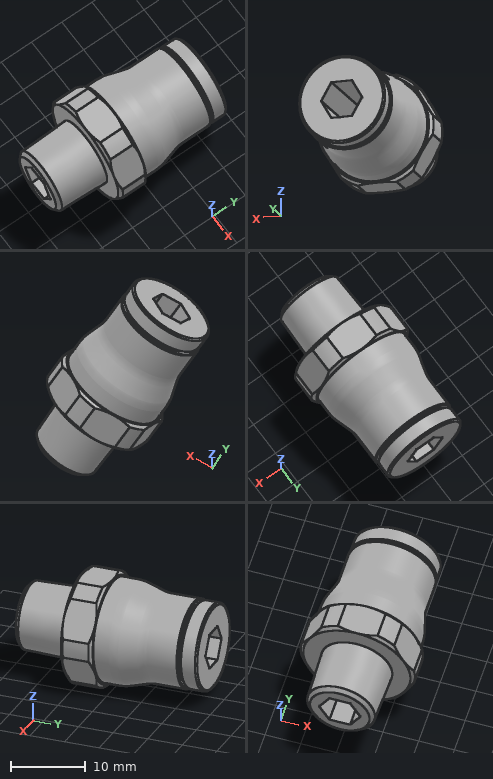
import cadquery as cq
import math

overall_length = 26.9

thread_length = 7.88
thread_base_radius = 4.98
thread_taper = 1 / 32
tip_chamfer_length = 0.6
tip_radius = 4.17

nut_length = 4.57
nut_across_flats = 15.0
nut_corner_radius = 8.003
nut_chamfer_length = 0.43

body_radius = 7.25
body_straight_length = 2.25
neck_radius = 6.2
blend_length = 5.0
blend_arc_radius = 4.57
neck_end_y = 24.15
neck_edge_chamfer = 0.1

groove_radius = 5.51
groove_width = 0.4
cap_radius = 6.08
cap_edge_chamfer = 0.25
cap_lower_chamfer = 0.1

key_across_flats = 5.0

nut_end_y = thread_length + nut_length
blend_start_y = nut_end_y + body_straight_length
blend_end_y = blend_start_y + blend_length
cap_start_y = neck_end_y + groove_width


def hex_prism(across_flats, start_y, length):
    """Hexagonal bar along Y, with corners on the X axis."""
    across_corners = across_flats / math.cos(math.radians(30))
    bar = cq.Workplane("XZ").polygon(6, across_corners).extrude(-length)
    return bar.translate((0, start_y, 0))


def revolve_about_y(outline):
    """Close an XY outline and turn it about the Y axis."""
    return outline.close().revolve(360, (0, 0, 0), (0, 1, 0))


def make_thread():
    taper_end_radius = thread_base_radius - thread_taper * (thread_length - tip_chamfer_length)
    outline = (
        cq.Workplane("XY")
        .lineTo(tip_radius, 0)
        .lineTo(taper_end_radius, tip_chamfer_length)
        .lineTo(thread_base_radius, thread_length)
        .lineTo(0, thread_length)
    )
    return revolve_about_y(outline)


def make_nut():
    """Hexagon trimmed by a round bar whose ends are chamfered down to the flats."""
    face_radius = nut_across_flats / 2
    outline = (
        cq.Workplane("XY")
        .moveTo(0, thread_length)
        .lineTo(face_radius, thread_length)
        .lineTo(nut_corner_radius, thread_length + nut_chamfer_length)
        .lineTo(nut_corner_radius, nut_end_y - nut_chamfer_length)
        .lineTo(face_radius, nut_end_y)
        .lineTo(0, nut_end_y)
    )
    hexagon = hex_prism(nut_across_flats, thread_length, nut_length)
    return hexagon.intersect(revolve_about_y(outline))


def make_body():
    """Body, S-shaped blend, neck, groove and cap as one turned shape."""
    drop = body_radius - neck_radius
    cone_length = math.sqrt(blend_length**2 + drop**2 - 4 * blend_arc_radius * drop)
    cone_angle = math.atan2(blend_length, 2 * blend_arc_radius - drop) - math.atan2(
        cone_length, 2 * blend_arc_radius
    )

    def arc_step(angle):
        """Radius change and axial advance after turning by an angle along an arc."""
        return blend_arc_radius * (1 - math.cos(angle)), blend_arc_radius * math.sin(angle)

    mid_drop, mid_advance = arc_step(cone_angle / 2)
    arc_drop, arc_advance = arc_step(cone_angle)

    outline = (
        cq.Workplane("XY")
        .moveTo(0, nut_end_y)
        .lineTo(body_radius, nut_end_y)
        .lineTo(body_radius, blend_start_y)
        .threePointArc(
            (body_radius - mid_drop, blend_start_y + mid_advance),
            (body_radius - arc_drop, blend_start_y + arc_advance),
        )
        .lineTo(neck_radius + arc_drop, blend_end_y - arc_advance)
        .threePointArc(
            (neck_radius + mid_drop, blend_end_y - mid_advance),
            (neck_radius, blend_end_y),
        )
        .lineTo(neck_radius, neck_end_y - neck_edge_chamfer)
        .lineTo(neck_radius - neck_edge_chamfer, neck_end_y)
        .lineTo(groove_radius, neck_end_y)
        .lineTo(groove_radius, cap_start_y)
        .lineTo(cap_radius - cap_lower_chamfer, cap_start_y)
        .lineTo(cap_radius, cap_start_y + cap_lower_chamfer)
        .lineTo(cap_radius, overall_length - cap_edge_chamfer)
        .lineTo(cap_radius - cap_edge_chamfer, overall_length)
        .lineTo(0, overall_length)
    )
    return revolve_about_y(outline)


key_hole = hex_prism(key_across_flats, 0, overall_length)

result = make_thread().union(make_nut()).union(make_body()).cut(key_hole)